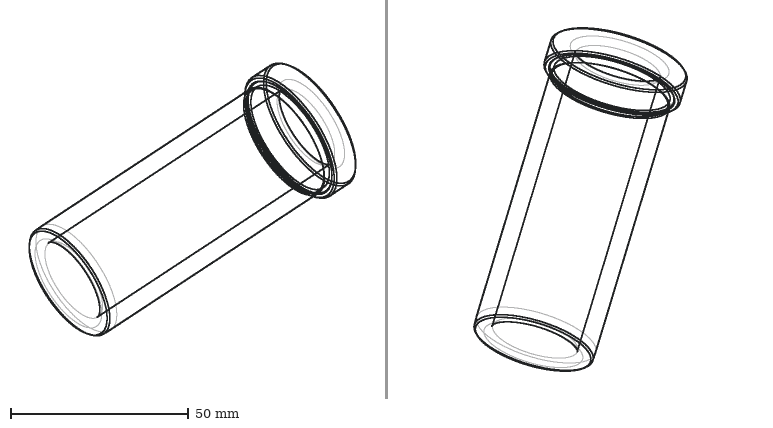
import cadquery as cq

length = 90.0
flange_diameter = 40.0
flange_thickness = 8.0
flange_chamfer = 0.5

body_diameter = 35.1
lead_diameter = 34.9
lead_length = 3.0
end_chamfer_length = 0.5
end_chamfer_depth = 0.5

neck_diameter = 34.0
neck_width = 1.7
neck_shoulder_length = 0.3
face_groove_diameter = 36.9
face_groove_depth = 0.3

bore_diameter = 25.0
bore_rounding = 2.0

front_end = -length / 2
back_end = length / 2
lead_end = front_end + lead_length
flange_face = back_end - flange_thickness
neck_start = flange_face - neck_width

flange_radius = flange_diameter / 2
body_radius = body_diameter / 2
lead_radius = lead_diameter / 2
neck_radius = neck_diameter / 2
groove_radius = face_groove_diameter / 2
bore_radius = bore_diameter / 2


def bushing_blank():
    """Solid outer form, revolved about the Y axis."""
    outline = [
        (0, front_end),
        (lead_radius - end_chamfer_depth, front_end),
        (lead_radius, front_end + end_chamfer_length),
        (body_radius, lead_end),
        (body_radius, neck_start - neck_shoulder_length),
        (neck_radius, neck_start),
        (neck_radius, flange_face + face_groove_depth),
        (groove_radius - face_groove_depth, flange_face + face_groove_depth),
        (groove_radius, flange_face),
        (flange_radius - flange_chamfer, flange_face),
        (flange_radius, flange_face + flange_chamfer),
        (flange_radius, back_end - flange_chamfer),
        (flange_radius - flange_chamfer, back_end),
        (0, back_end),
    ]
    return cq.Workplane("XY").polyline(outline).close().revolve(360, (0, 0), (0, 1))


def add_bore(part):
    """Drill through along Y and round both mouths of the bore."""
    drill = cq.Workplane("XZ", origin=(0, back_end, 0)).circle(bore_radius).extrude(length)
    bored = part.cut(drill)
    mouths = cq.selectors.RadiusNthSelector(0)
    return bored.faces("<Y or >Y").edges(mouths).fillet(bore_rounding)


result = add_bore(bushing_blank())